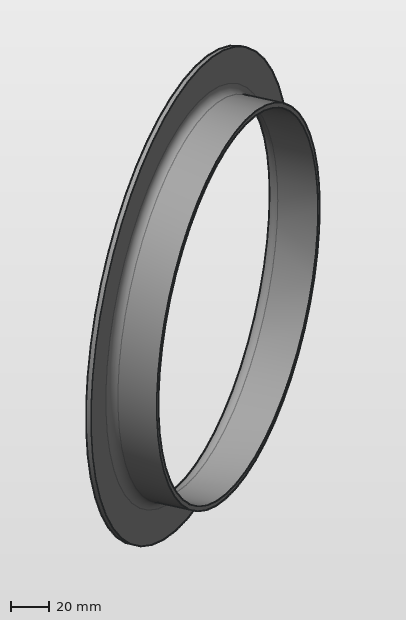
import cadquery as cq

flange_diameter = 268.0
collar_diameter = 219.2
bore_diameter = 213.9
total_length = 30.0
flange_thickness = 3.0
mouth_radius = 7.0
corner_radius = 4.8

INNERMOST = cq.selectors.RadiusNthSelector(0)


def bored_disc(outer_diameter, length):
    """Disc centred on the X axis from X = 0 to X = length, with the bore through it."""
    section = cq.Workplane("YZ").circle(outer_diameter / 2).circle(bore_diameter / 2)
    return section.extrude(length)


flange = bored_disc(flange_diameter, flange_thickness)
collar = bored_disc(collar_diameter, total_length)
body = flange.union(collar)

body = body.faces("<X[1]").edges(INNERMOST).fillet(corner_radius)

result = body.faces("<X").edges(INNERMOST).fillet(mouth_radius)